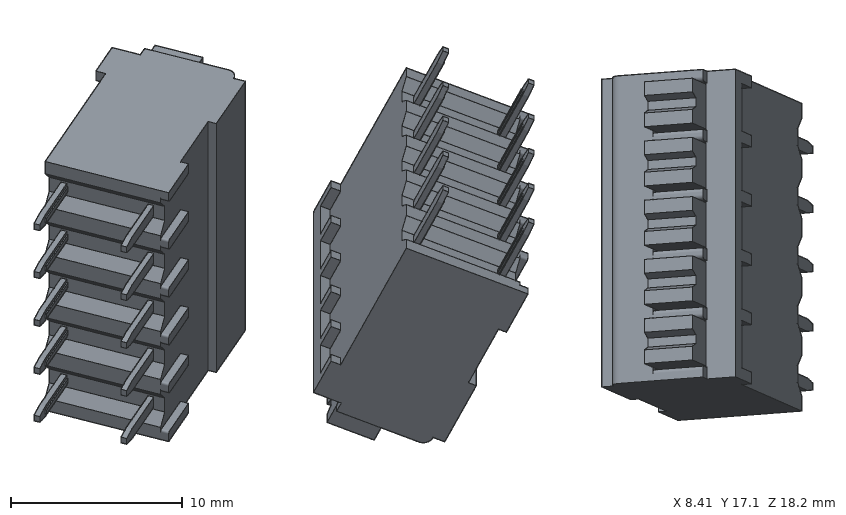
import cadquery as cq
import math

POLES = 5
HEIGHT = 18.2
RIB = 0.7
PITCH = (HEIGHT - RIB) / POLES
GAP = PITCH - RIB

WIDTH = 7.79
DEPTH = 11.6
LEFT_LIP = 0.62
LEFT_LIP_START = 9.14
LEFT_LIP_BAR = 10.6
RIGHT_RECESS = 0.51
RIGHT_RECESS_START = 3.0
RIGHT_RECESS_END = 7.19
FRONT_ROUNDING = 0.15

PLATEAU_LEFT = 1.16
PLATEAU_RIGHT = 7.05
PLATEAU_HEIGHT = 0.64
PLATEAU_ROUNDING = 0.62
REAR_ROUNDING = 0.25
POCKET_RIGHT = 4.31

LEVER_LEFT = 1.22
LEVER_WIDTH = 3.02
LEVER_THICKNESS = 2.65
LEVER_END = 13.69
NOTCH_MOUTH = 1.04
NOTCH_FLOOR = 0.53
NOTCH_DEPTH = 0.55

GROOVE_MOUTH = 2.4
GROOVE_FLOOR = 1.02
GROOVE_DEPTH = 0.62

PIN_LEFT = 0.75
PIN_SPACING = 5.48
PIN_THICKNESS = 0.36
PIN_WIDTH = 0.75
PIN_TIP_WIDTH = 0.42
PIN_LENGTH = 3.45
PIN_TAPER = 0.78
PIN_RIDGE = 0.1
PIN_RIDGE_WIDTH = 0.31


def box(x0, x1, y0, y1, z0, z1):
    return cq.Workplane().box(x1 - x0, y1 - y0, z1 - z0, centered=False).translate((x0, y0, z0))


def prism(points, x0, x1):
    """Extrude an outline of (y, z) points from x0 to x1."""
    return cq.Workplane("YZ").polyline(points).close().extrude(x1 - x0).translate((x0, 0, 0))


def trapezoid(y0, width0, y1, width1, z):
    """Outline symmetric about the height z, with the given widths at y0 and y1."""
    return [
        (y0, z - width0 / 2),
        (y0, z + width0 / 2),
        (y1, z + width1 / 2),
        (y1, z - width1 / 2),
    ]


def housing():
    plateau_end = DEPTH + PLATEAU_HEIGHT
    body = box(0, WIDTH, 0, DEPTH, 0, HEIGHT)
    lip = box(-LEFT_LIP, 0, LEFT_LIP_START, DEPTH, 0, HEIGHT)
    recess = box(WIDTH - RIGHT_RECESS, WIDTH, RIGHT_RECESS_START, RIGHT_RECESS_END, 0, HEIGHT)
    plateau = box(PLATEAU_LEFT, PLATEAU_RIGHT, DEPTH, plateau_end, 0, HEIGHT)
    plateau = plateau.edges("|Z and >X and >Y").fillet(PLATEAU_ROUNDING)
    return body.union(lip).cut(recess).union(plateau)


def gap_cut(x0, x1, y0, y1, z):
    """Space between two ribs, centred at z."""
    return box(x0, x1, y0, y1, z - GAP / 2, z + GAP / 2)


def rounding_cut(x0, x1, y_face, inward, radius, z):
    """Material outside the rounded rib edges next to the gap centred at z.

    The rounded edges lie on the face at y_face, with the ribs on its inward (+1 or -1) side.
    """
    y_inner = y_face + inward * radius
    half_gap = GAP / 2
    half_mouth = half_gap + radius
    bulge = radius * (1 - math.cos(math.pi / 4))
    return (
        cq.Workplane("YZ")
        .moveTo(y_inner, z - half_gap)
        .threePointArc((y_face + inward * bulge, z - half_gap - bulge), (y_face, z - half_mouth))
        .lineTo(y_face, z + half_mouth)
        .threePointArc((y_face + inward * bulge, z + half_gap + bulge), (y_inner, z + half_gap))
        .close()
        .extrude(x1 - x0)
        .translate((x0, 0, 0))
    )


def pole_cuts(z):
    """Everything removed from the housing at the pole centred at z."""
    plateau_end = DEPTH + PLATEAU_HEIGHT
    recess_floor = WIDTH - RIGHT_RECESS
    groove = prism(trapezoid(0, GROOVE_MOUTH, GROOVE_DEPTH, GROOVE_FLOOR, z), 0, WIDTH)
    return (
        groove.union(gap_cut(-LEFT_LIP, 0, LEFT_LIP_START, LEFT_LIP_BAR, z))
        .union(gap_cut(recess_floor, WIDTH, 0, RIGHT_RECESS_START, z))
        .union(rounding_cut(recess_floor, WIDTH, 0, 1, FRONT_ROUNDING, z))
        .union(gap_cut(PLATEAU_LEFT, POCKET_RIGHT, DEPTH, plateau_end, z))
        .union(rounding_cut(PLATEAU_LEFT, POCKET_RIGHT, plateau_end, -1, REAR_ROUNDING, z))
    )


def lever(z):
    half = LEVER_THICKNESS / 2
    notch = trapezoid(LEVER_END, NOTCH_MOUTH, LEVER_END - NOTCH_DEPTH, NOTCH_FLOOR, z)
    right = LEVER_LEFT + LEVER_WIDTH
    return box(LEVER_LEFT, right, DEPTH, LEVER_END, z - half, z + half).cut(prism(notch, LEVER_LEFT, right))


def pin_ridge(x, z):
    """Flat ridge along a pin, with its left face at x, ending where the pin starts to taper."""
    half_width = PIN_RIDGE_WIDTH / 2
    taper_start = PIN_TAPER - PIN_LENGTH
    return box(x, x + PIN_RIDGE, taper_start, GROOVE_DEPTH, z - half_width, z + half_width)


def pin(x, z):
    """Pin with its left face at x, tapered on its top and bottom at the free end."""
    right = x + PIN_THICKNESS
    taper_start = PIN_TAPER - PIN_LENGTH
    shank = box(x, right, taper_start, GROOVE_DEPTH, z - PIN_WIDTH / 2, z + PIN_WIDTH / 2)
    tip = prism(trapezoid(taper_start, PIN_WIDTH, -PIN_LENGTH, PIN_TIP_WIDTH, z), x, right)
    return shank.union(tip)


def pole_parts(z):
    """Lever and pair of pins at the pole centred at z, with ridges on the facing sides of the pins."""
    right_pin = PIN_LEFT + PIN_SPACING
    return (
        lever(z)
        .union(pin(PIN_LEFT, z))
        .union(pin_ridge(PIN_LEFT + PIN_THICKNESS, z))
        .union(pin(right_pin, z))
        .union(pin_ridge(right_pin - PIN_RIDGE, z))
    )


result = housing()
for pole in range(POLES):
    pole_z = RIB + GAP / 2 + pole * PITCH
    result = result.cut(pole_cuts(pole_z)).union(pole_parts(pole_z))